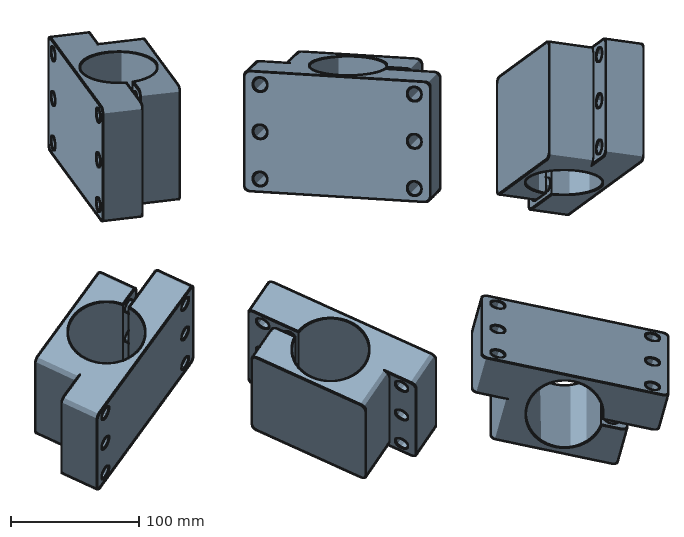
import cadquery as cq

length = 150.0
depth = 70.0
height = 97.0
plate_thickness = 32.5
block_length = 102.0
corner_radius = 5.0
edge_chamfer = 0.5

seat_overlap = 2 * edge_chamfer

bore_diameter = 60.0
bore_y = depth / 2
slit_width = 2 * (bore_y - plate_thickness)
jaw_underside = plate_thickness + slit_width

row_pitch = 38.0
row_heights = (-row_pitch, 0, row_pitch)
hole_diameter = 11.0
hole_x = 62.0
screw_diameter = 11.0
screw_x = 38.1


def rounded_slab(slab_length, y_start, y_end):
    """Upright slab whose four corners are rounded in the XZ plane."""
    slab = cq.Workplane("XZ", origin=(0, y_start, 0)).rect(slab_length, height).extrude(y_start - y_end)
    return slab.edges("|Y").fillet(corner_radius)


def base_plate():
    """Mounting plate with both rims chamfered."""
    return rounded_slab(length, 0, plate_thickness).faces("<Y or >Y").chamfer(edge_chamfer)


def clamp_block():
    """Block sunk slightly into the plate and slit on +X to leave a free clamping jaw."""
    sunk_start = plate_thickness - seat_overlap
    block = rounded_slab(block_length, sunk_start, depth).faces(">Y").chamfer(edge_chamfer)
    slit = cq.Workplane("XY").box(length, jaw_underside - sunk_start, height, centered=(False, False, True))
    block = block.cut(slit.translate((0, sunk_start, 0)))
    jaw_rim = cq.selectors.BoxSelector(
        (edge_chamfer, jaw_underside - edge_chamfer, -height),
        (length, jaw_underside + edge_chamfer, height),
    )
    return block.edges(jaw_rim).chamfer(edge_chamfer)


def flared_cutter(diameter, span):
    """Through-hole cutter along +Y from the origin, flared at both ends by the edge chamfer."""
    radius = diameter / 2
    flare_radius = radius + edge_chamfer
    profile = [
        (0, 0),
        (flare_radius, 0),
        (radius, edge_chamfer),
        (radius, span - edge_chamfer),
        (flare_radius, span),
        (0, span),
    ]
    return cq.Workplane("XY").polyline(profile).close().revolve(360, (0, 0), (0, 1))


def shaft_bore():
    """Vertical bore cutter through the full height."""
    upright = flared_cutter(bore_diameter, height).rotate((0, 0, 0), (1, 0, 0), 90)
    return upright.translate((0, bore_y, -height / 2))


def screw_shank(z):
    """Shank of a clamp screw bridging the slit, embedded at both ends."""
    shank = cq.Workplane("XZ", origin=(screw_x, plate_thickness - seat_overlap, z))
    return shank.circle(screw_diameter / 2).extrude(-(slit_width + 2 * seat_overlap))


body = base_plate().union(clamp_block()).cut(shaft_bore())

for row_z in row_heights:
    for x in (-hole_x, hole_x):
        mounting_hole = flared_cutter(hole_diameter, plate_thickness)
        body = body.cut(mounting_hole.translate((x, 0, row_z)))
    body = body.union(screw_shank(row_z))

result = body